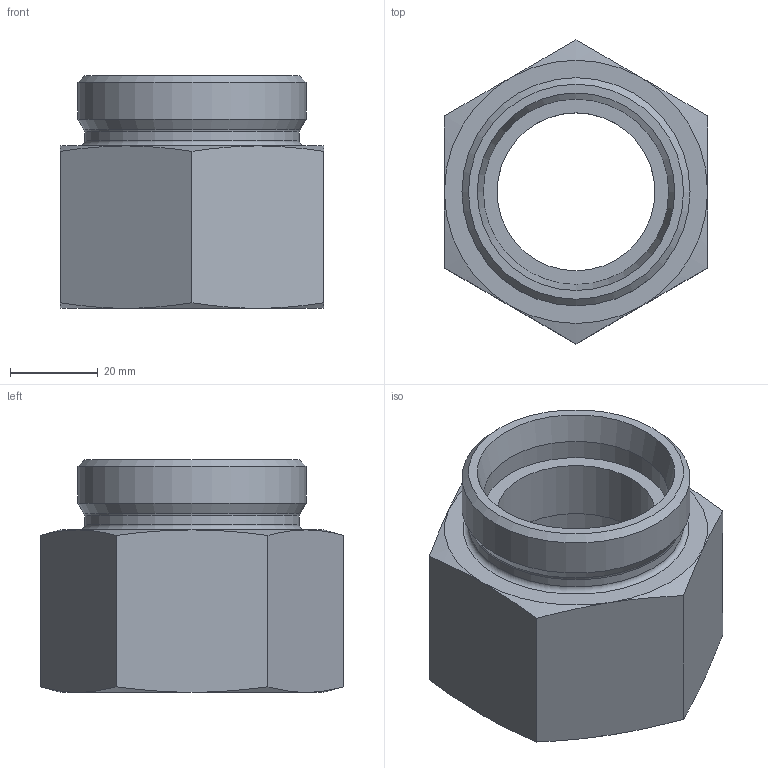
import cadquery as cq
import math

across_flats = 60.0
body_height = 37.0
corner_chamfer_angle = 15.0

total_height = 53.0
spigot_diameter = 52.0
neck_diameter = 49.0
rim_diameter = 49.0
rim_chamfer_height = 1.5
neck_height = 3.5
neck_cone_half_angle = 30.0
neck_fillet_radius = 1.2

mouth_diameter = 45.0
seat_diameter = 42.25
seat_cone_half_angle = 12.0
seat_depth = 11.0
through_diameter = 36.0
lower_bore_diameter = 45.84
lower_bore_depth = 28.6


def rise_over(radial_run, angle_from_axis):
    """Axial length of a cone that changes radius by radial_run."""
    return radial_run / math.tan(math.radians(angle_from_axis))


def make_hex_body():
    """Hexagonal prism with flats facing X and conically chamfered corners."""
    corner_radius = across_flats / math.sqrt(3)
    chamfer_drop = (corner_radius - across_flats / 2) * math.tan(math.radians(corner_chamfer_angle))
    prism = (
        cq.Workplane("XY")
        .polygon(6, 2 * corner_radius)
        .extrude(body_height)
        .rotate((0, 0, 0), (0, 0, 1), 30)
    )
    chamfer_envelope = (
        cq.Workplane("XZ")
        .moveTo(0, 0)
        .lineTo(across_flats / 2, 0)
        .lineTo(corner_radius, chamfer_drop)
        .lineTo(corner_radius, body_height - chamfer_drop)
        .lineTo(across_flats / 2, body_height)
        .lineTo(0, body_height)
        .close()
        .revolve(360, (0, 0, 0), (0, 1, 0))
    )
    return prism.intersect(chamfer_envelope)


def make_spigot():
    """Collar with a chamfered rim, an undercut neck and filleted neck ends."""
    spigot_radius = spigot_diameter / 2
    neck_radius = neck_diameter / 2
    land_top = total_height - rim_chamfer_height
    neck_top = body_height + neck_height
    land_bottom = neck_top + rise_over(spigot_radius - neck_radius, neck_cone_half_angle)

    cone_angle = math.radians(neck_cone_half_angle)
    tangent_length = neck_fillet_radius * math.tan(cone_angle / 2)
    fillet_bottom = neck_top - tangent_length
    fillet_center_radius = neck_radius + neck_fillet_radius

    def upper_fillet_point(turn):
        return (
            fillet_center_radius - neck_fillet_radius * math.cos(turn),
            fillet_bottom + neck_fillet_radius * math.sin(turn),
        )

    fillet_45 = neck_fillet_radius * math.sqrt(0.5)
    lower_fillet_top = body_height + neck_fillet_radius
    lower_fillet_middle = (fillet_center_radius - fillet_45, lower_fillet_top - fillet_45)

    return (
        cq.Workplane("XZ")
        .moveTo(0, body_height)
        .lineTo(fillet_center_radius, body_height)
        .threePointArc(lower_fillet_middle, (neck_radius, lower_fillet_top))
        .lineTo(neck_radius, fillet_bottom)
        .threePointArc(upper_fillet_point(cone_angle / 2), upper_fillet_point(cone_angle))
        .lineTo(spigot_radius, land_bottom)
        .lineTo(spigot_radius, land_top)
        .lineTo(rim_diameter / 2, total_height)
        .lineTo(0, total_height)
        .close()
        .revolve(360, (0, 0, 0), (0, 1, 0))
    )


def make_bores():
    """Stepped bore: lower bore, through hole, tube seat and its conical mouth."""
    seat_radius = seat_diameter / 2
    mouth_radius = mouth_diameter / 2
    seat_floor = total_height - seat_depth
    cone_bottom = total_height - rise_over(mouth_radius - seat_radius, seat_cone_half_angle)
    return (
        cq.Workplane("XZ")
        .moveTo(0, 0)
        .lineTo(lower_bore_diameter / 2, 0)
        .lineTo(lower_bore_diameter / 2, lower_bore_depth)
        .lineTo(through_diameter / 2, lower_bore_depth)
        .lineTo(through_diameter / 2, seat_floor)
        .lineTo(seat_radius, seat_floor)
        .lineTo(seat_radius, cone_bottom)
        .lineTo(mouth_radius, total_height)
        .lineTo(0, total_height)
        .close()
        .revolve(360, (0, 0, 0), (0, 1, 0))
    )


result = make_hex_body().union(make_spigot()).cut(make_bores())